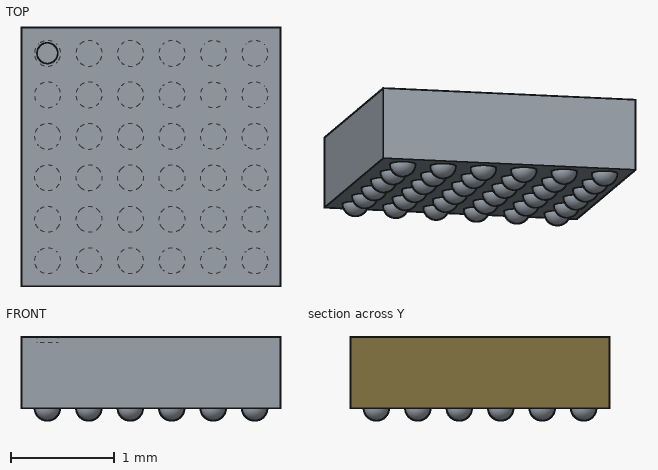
import cadquery as cq

side = 2.5
total_height = 0.81
ball_drop = 0.12
body_height = total_height - ball_drop

ball_radius = 0.125
balls_per_side = 6
ball_pitch = 0.4
ball_center_z = ball_radius - ball_drop

dimple_diameter = 0.2
dimple_depth = 0.05
dimple_inset = 0.25


def make_body():
    """Square block with its underside at Z = 0."""
    return cq.Workplane("XY").box(side, side, body_height, centered=(True, True, False))


def make_balls():
    """Grid of spheres that show below the underside."""
    return (
        cq.Workplane("XY", origin=(0, 0, ball_center_z))
        .rarray(ball_pitch, ball_pitch, balls_per_side, balls_per_side)
        .sphere(ball_radius)
    )


def make_dimple():
    """Shallow round cutter at the -X, +Y corner of the top face."""
    offset = side / 2 - dimple_inset
    return (
        cq.Workplane("XY", origin=(-offset, offset, body_height - dimple_depth))
        .circle(dimple_diameter / 2)
        .extrude(dimple_depth)
    )


result = make_body().union(make_balls()).cut(make_dimple())